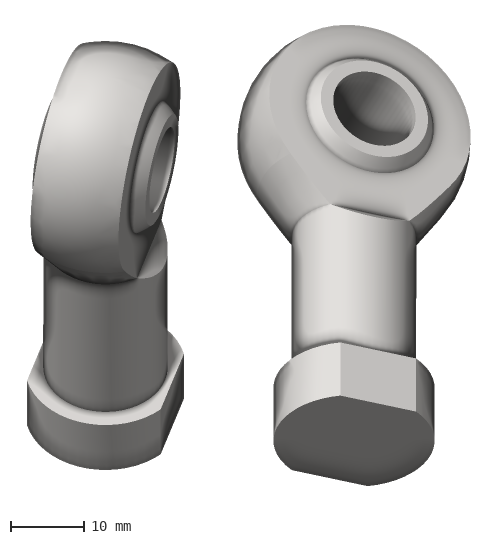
import cadquery as cq
import math

total_height = 65.85
head_radius = 15.95
head_width = 12.5
eye_height = total_height - head_radius

ball_radius = 11.2
ball_width = 16.1
bore_radius = 6.0
opening_radius = (bore_radius + ball_radius) / 2

shank_radius = 8.5
neck_bottom = 33.85
neck_top = 40.9

collar_radius = 11.0
collar_height = 8.8
collar_across_flats = 19.0


def make_head_and_neck():
    """Round head and conical neck turned about Z, cut to two flat faces."""
    neck_top_radius = math.sqrt(head_radius**2 - (eye_height - neck_top) ** 2)
    turned = (
        cq.Workplane("XZ")
        .moveTo(0, neck_bottom)
        .lineTo(shank_radius, neck_bottom)
        .lineTo(neck_top_radius, neck_top)
        .threePointArc((head_radius, eye_height), (0, total_height))
        .close()
        .revolve(360, (0, 0, 0), (0, 1, 0))
    )
    slab = cq.Workplane("XY").box(
        head_width, 2 * head_radius, total_height, centered=(True, True, False)
    )
    return turned.intersect(slab)


def make_head_opening():
    """Cylinder along X that opens the head for the bored ball."""
    return (
        cq.Workplane("YZ")
        .center(0, eye_height)
        .circle(opening_radius)
        .extrude(head_width, both=True)
    )


def make_shank():
    """Round shank whose top slopes at 45 degrees up to the flat faces of the head."""
    half_width = head_width / 2
    slope_bottom = neck_bottom - (shank_radius - half_width)
    shank = cq.Workplane("XY").circle(shank_radius).extrude(neck_bottom)
    roofed_profile = (
        cq.Workplane("XZ")
        .moveTo(-shank_radius, 0)
        .lineTo(shank_radius, 0)
        .lineTo(shank_radius, slope_bottom)
        .lineTo(half_width, neck_bottom)
        .lineTo(-half_width, neck_bottom)
        .lineTo(-shank_radius, slope_bottom)
        .close()
        .extrude(shank_radius, both=True)
    )
    return shank.intersect(roofed_profile)


def make_collar():
    """Round collar with two opposite flats facing along X."""
    flats = cq.Workplane("XY").box(
        collar_across_flats, 2 * collar_radius, collar_height, centered=(True, True, False)
    )
    return cq.Workplane("XY").circle(collar_radius).extrude(collar_height).intersect(flats)


def make_ball():
    """Ball turned about X, with flat ends and a straight bore."""
    half_width = ball_width / 2
    end_radius = math.sqrt(ball_radius**2 - half_width**2)
    return (
        cq.Workplane("XY")
        .moveTo(-half_width, bore_radius)
        .lineTo(-half_width, end_radius)
        .threePointArc((0, ball_radius), (half_width, end_radius))
        .lineTo(half_width, bore_radius)
        .close()
        .revolve(360, (0, 0, 0), (1, 0, 0))
        .translate((0, 0, eye_height))
    )


body = make_head_and_neck().cut(make_head_opening()).union(make_shank()).union(make_collar())
result = body.union(make_ball())